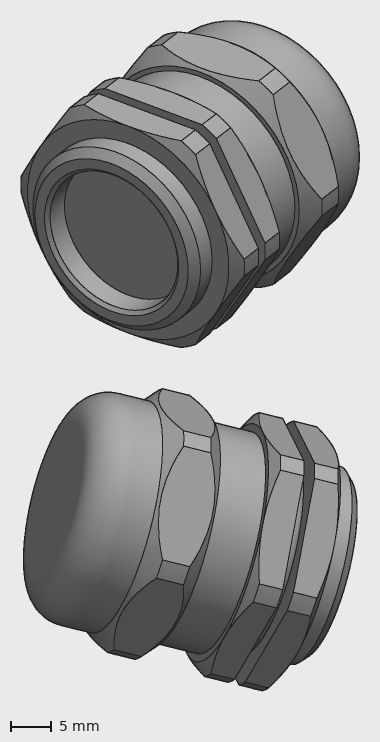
import cadquery as cq
import math

ACROSS_FLATS = 30.0
ACROSS_CORNERS = 33.3

THREAD_LENGTH = 3.55
THIN_HEX_WIDTH = 4.0
RING_WIDTH = 1.4
NECK_LENGTH = 6.15
DOME_HEX_WIDTH = 7.57
TOTAL_LENGTH = 35.2

THREAD_DIAMETER = 25.0
THREAD_TIP_DIAMETER = 22.8
RING_CENTER_DIAMETER = 23.5
RING_CORD_DIAMETER = 2.95
RING_CENTER_TO_BODY = 0.35
NECK_DIAMETER = 28.0
DOME_DIAMETER = 29.3
DOME_ROUNDING = 4.55

BORE_DIAMETER = 19.0
BORE_CHAMFER = 0.5
BORE_DEPTH = 3.55

THIN_HEX_BEVEL_ANGLE = 30.0
DOME_HEX_BEVEL_ANGLE = 45.0

lock_nut_start = THREAD_LENGTH
ring_start = lock_nut_start + THIN_HEX_WIDTH
body_hex_start = ring_start + RING_WIDTH
neck_start = body_hex_start + THIN_HEX_WIDTH
dome_hex_start = neck_start + NECK_LENGTH
dome_start = dome_hex_start + DOME_HEX_WIDTH


def revolve_about_y(profile):
    return profile.close().revolve(360, (0, 0, 0), (0, 1, 0))


def cylinder(start, end, diameter):
    plane = cq.Plane(origin=(0, start, 0), xDir=(1, 0, 0), normal=(0, 1, 0))
    return cq.Workplane(plane).circle(diameter / 2).extrude(end - start)


def hexagon(start, width, face_diameter, bevel_angle, bevel_front, bevel_back):
    """Hexagon with flats facing +Z and -Z, turned down and beveled at its corners."""
    end = start + width
    plane = cq.Plane(origin=(0, start, 0), xDir=(1, 0, 0), normal=(0, 1, 0))
    sharp_corners = ACROSS_FLATS / math.cos(math.radians(30))
    prism = cq.Workplane(plane).polygon(6, sharp_corners).extrude(width)

    outer = ACROSS_CORNERS / 2
    face = face_diameter / 2
    bevel_length = (outer - face) * math.tan(math.radians(bevel_angle))
    outline = cq.Workplane("XY").moveTo(0, start)
    if bevel_front:
        outline = outline.lineTo(face, start).lineTo(outer, start + bevel_length)
    else:
        outline = outline.lineTo(outer, start)
    if bevel_back:
        outline = outline.lineTo(outer, end - bevel_length).lineTo(face, end)
    else:
        outline = outline.lineTo(outer, end)
    return prism.intersect(revolve_about_y(outline.lineTo(0, end)))


tip_chamfer = (THREAD_DIAMETER - THREAD_TIP_DIAMETER) / 2
thread = cylinder(0, lock_nut_start, THREAD_DIAMETER).faces("<Y").chamfer(tip_chamfer)

lock_nut = hexagon(lock_nut_start, THIN_HEX_WIDTH, ACROSS_FLATS, THIN_HEX_BEVEL_ANGLE, True, False)

ring_core = cylinder(ring_start, body_hex_start, RING_CENTER_DIAMETER)
ring_cord = (
    cq.Workplane("XY")
    .moveTo(RING_CENTER_DIAMETER / 2, body_hex_start - RING_CENTER_TO_BODY)
    .circle(RING_CORD_DIAMETER / 2)
    .revolve(360, (0, 0, 0), (0, 1, 0))
)
ring_gap = cylinder(ring_start, body_hex_start, ACROSS_FLATS)
ring = ring_core.union(ring_cord.intersect(ring_gap))

body_hex = hexagon(body_hex_start, THIN_HEX_WIDTH, ACROSS_FLATS, THIN_HEX_BEVEL_ANGLE, False, True)
neck = cylinder(neck_start, dome_hex_start, NECK_DIAMETER)

dome_hex = hexagon(dome_hex_start, DOME_HEX_WIDTH, DOME_DIAMETER, DOME_HEX_BEVEL_ANGLE, True, True)
dome = cylinder(dome_start, TOTAL_LENGTH, DOME_DIAMETER).faces(">Y").edges().fillet(DOME_ROUNDING)

bore_radius = BORE_DIAMETER / 2
bore = revolve_about_y(
    cq.Workplane("XY")
    .moveTo(0, 0)
    .lineTo(bore_radius + BORE_CHAMFER, 0)
    .lineTo(bore_radius, BORE_CHAMFER)
    .lineTo(bore_radius, BORE_DEPTH)
    .lineTo(0, BORE_DEPTH)
)

gland = thread
for section in (lock_nut, ring, body_hex, neck, dome_hex, dome):
    gland = gland.union(section)

result = gland.cut(bore)